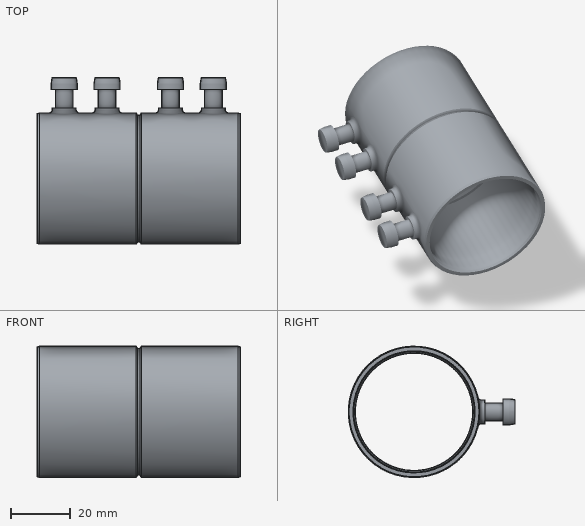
import cadquery as cq

length = 68.0
outer_radius = 44.0 / 2
bore_radius = 40.3 / 2
end_bevel_length = 0.8
end_bevel_depth = 0.3

groove_radius = 42.4 / 2
groove_width = 1.8
groove_floor_width = 0.8
ridge_height = 0.55

screw_offsets = (10.6, 24.95)
screw_tip_y = 55.8 - outer_radius
shank_radius = 6.0 / 2
head_radius = 8.8 / 2
head_rim_length = 2.05
head_crown_length = 2.05
crown_top_radius = 8.0 / 2
crown_bulge = 0.1
neck_length = 6.05

collar_radius = 8.0 / 2
collar_fillet = 1.0

rim_top_y = screw_tip_y - head_crown_length
rim_bottom_y = rim_top_y - head_rim_length
collar_top_y = rim_bottom_y - neck_length


def make_sleeve_blank():
    """Solid outer body with bevelled ends and the central groove."""
    half = length / 2
    end_radius = outer_radius - end_bevel_depth
    return (
        cq.Workplane("XY")
        .moveTo(-half, 0)
        .lineTo(-half, end_radius)
        .lineTo(-half + end_bevel_length, outer_radius)
        .lineTo(-groove_width / 2, outer_radius)
        .lineTo(-groove_floor_width / 2, groove_radius)
        .lineTo(groove_floor_width / 2, groove_radius)
        .lineTo(groove_width / 2, outer_radius)
        .lineTo(half - end_bevel_length, outer_radius)
        .lineTo(half, end_radius)
        .lineTo(half, 0)
        .close()
        .revolve(360, (0, 0, 0), (1, 0, 0))
    )


def make_bore():
    """Through bore with bevelled mouths, narrowed at mid length by the stop ridge."""
    half = length / 2
    mouth_radius = bore_radius + end_bevel_depth
    ridge_radius = bore_radius - ridge_height
    return (
        cq.Workplane("XY")
        .moveTo(-half, 0)
        .lineTo(-half, mouth_radius)
        .lineTo(-half + end_bevel_length, bore_radius)
        .lineTo(-groove_width / 2, bore_radius)
        .lineTo(-groove_floor_width / 2, ridge_radius)
        .lineTo(groove_floor_width / 2, ridge_radius)
        .lineTo(groove_width / 2, bore_radius)
        .lineTo(half - end_bevel_length, bore_radius)
        .lineTo(half, mouth_radius)
        .lineTo(half, 0)
        .close()
        .revolve(360, (0, 0, 0), (1, 0, 0))
    )


def make_collar(x):
    """Collar disc running out along Y from the sleeve axis, to be trimmed by the bore."""
    return (
        cq.Workplane("XZ", origin=(x, 0, 0))
        .circle(collar_radius)
        .extrude(-collar_top_y)
    )


def make_screw(x):
    """Shank and crowned head, revolved about a line parallel to Y."""
    crown_mid = (
        x + (head_radius + crown_top_radius) / 2 + crown_bulge,
        rim_top_y + head_crown_length / 2,
    )
    return (
        cq.Workplane("XY")
        .moveTo(x, bore_radius)
        .lineTo(x + shank_radius, bore_radius)
        .lineTo(x + shank_radius, rim_bottom_y)
        .lineTo(x + head_radius, rim_bottom_y)
        .lineTo(x + head_radius, rim_top_y)
        .threePointArc(crown_mid, (x + crown_top_radius, screw_tip_y))
        .lineTo(x, screw_tip_y)
        .close()
        .revolve(360, (x, 0, 0), (x, 1, 0))
    )


screw_positions = [side * offset for side in (-1, 1) for offset in screw_offsets]

result = make_sleeve_blank()
for screw_x in screw_positions:
    result = result.union(make_collar(screw_x))

for screw_x in screw_positions:
    seam_zone = cq.selectors.BoxSelector(
        (screw_x - head_radius, 0, -head_radius),
        (screw_x + head_radius, collar_top_y - collar_fillet, head_radius),
        boundingbox=True,
    )
    result = result.edges(seam_zone).fillet(collar_fillet)

for screw_x in screw_positions:
    result = result.union(make_screw(screw_x))
result = result.cut(make_bore())